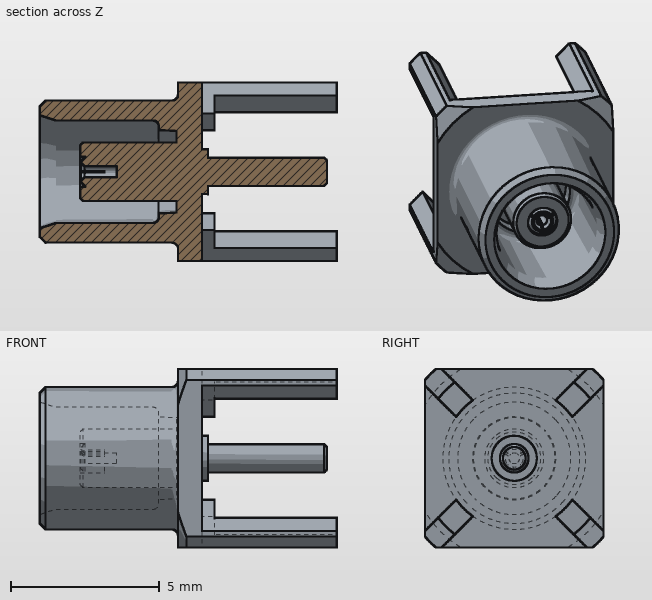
import cadquery as cq
import math

length = 9.99
side = 6.0

barrel_radius = 2.4
rim_chamfer = 0.2
flange_front = 4.65
flange_back = 5.46
flange_fillet = 0.2
corner_radius = 4.0
corner_cone_radius = 3.5
corner_cone_angle = 30.0

mouth_radius = 1.9
bore_radius = 1.72
mouth_depth = 0.55
bore_depth = 4.0
bore_fillet = 0.18
recess_radius = 1.4
recess_floor_radius = 1.37
recess_depth = 4.6

insulator_radius = 0.99
insulator_front = 1.36
insulator_chamfer = 0.1
contact_hole_radius = 0.5
contact_hole_depth = 0.17
contact_tip_radius = 0.36
contact_tip_height = 0.14
contact_mouth_radius = 0.3
contact_bore_radius = 0.18
contact_bore_depth = 1.2
slit_count = 3
slit_width = 0.06
slit_depth = 0.8

collar_radius = 0.76
collar_length = 0.2
tail_radius = 0.48
tail_end = 9.66
tail_chamfer = 0.1

leg_face_width = 0.56
leg_inner_radius = 3.25
foot_inner_radius = 2.4
foot_length = 0.42


def cylinder(radius, start, end):
    """Solid cylinder on the X axis."""
    return cq.Workplane("YZ", origin=(start, 0, 0)).circle(radius).extrude(end - start)


def square_prism(start, end):
    """Square bar with its corners turned round about the axis, the envelope of flange and legs."""
    bar = cq.Workplane("YZ", origin=(start, 0, 0)).rect(side, side).extrude(end - start)
    return bar.intersect(cylinder(corner_radius, start, end))


def make_flange():
    """Square flange whose front corners are turned to a shallow cone."""
    cone_length = (corner_radius - corner_cone_radius) * math.tan(math.radians(corner_cone_angle))
    turned_blank = (
        cq.Workplane("XY")
        .moveTo(flange_front, 0)
        .lineTo(flange_front, corner_cone_radius)
        .lineTo(flange_front + cone_length, corner_radius)
        .lineTo(flange_back, corner_radius)
        .lineTo(flange_back, 0)
        .close()
        .revolve(360, (0, 0, 0), (1, 0, 0))
    )
    return square_prism(flange_front, flange_back).intersect(turned_blank)


def make_barrel():
    """Round barrel with a chamfered rim and a concave fillet onto the flange."""
    fillet_mid = flange_fillet * (1 - math.sqrt(0.5))
    return (
        cq.Workplane("XY")
        .lineTo(0, barrel_radius - rim_chamfer)
        .lineTo(rim_chamfer, barrel_radius)
        .lineTo(flange_front - flange_fillet, barrel_radius)
        .threePointArc(
            (flange_front - fillet_mid, barrel_radius + fillet_mid),
            (flange_front, barrel_radius + flange_fillet),
        )
        .lineTo(flange_back, barrel_radius + flange_fillet)
        .lineTo(flange_back, 0)
        .close()
        .revolve(360, (0, 0, 0), (1, 0, 0))
    )


def make_socket():
    """Space turned out of the barrel: tapered mouth, round-bottomed bore and deeper recess."""
    fillet_mid = bore_fillet * (1 - math.sqrt(0.5))
    return (
        cq.Workplane("XY")
        .lineTo(0, mouth_radius)
        .lineTo(mouth_depth, bore_radius)
        .lineTo(bore_depth - bore_fillet, bore_radius)
        .threePointArc(
            (bore_depth - fillet_mid, bore_radius - fillet_mid),
            (bore_depth, bore_radius - bore_fillet),
        )
        .lineTo(bore_depth, recess_radius)
        .lineTo(recess_depth, recess_floor_radius)
        .lineTo(recess_depth, 0)
        .close()
        .revolve(360, (0, 0, 0), (1, 0, 0))
    )


def make_insulator():
    """Insulator post with the sunken, hollow tip of the contact at its centre."""
    hole_floor = insulator_front + contact_hole_depth
    tip_front = hole_floor - contact_tip_height
    bore_start = tip_front + contact_mouth_radius - contact_bore_radius
    bore_floor = tip_front + contact_bore_depth
    return (
        cq.Workplane("XY")
        .moveTo(flange_back, 0)
        .lineTo(flange_back, insulator_radius)
        .lineTo(insulator_front + insulator_chamfer, insulator_radius)
        .lineTo(insulator_front, insulator_radius - insulator_chamfer)
        .lineTo(insulator_front, contact_hole_radius)
        .lineTo(hole_floor, contact_hole_radius)
        .lineTo(tip_front, contact_tip_radius)
        .lineTo(tip_front, contact_mouth_radius)
        .lineTo(bore_start, contact_bore_radius)
        .lineTo(bore_floor, contact_bore_radius)
        .lineTo(bore_floor, 0)
        .close()
        .revolve(360, (0, 0, 0), (1, 0, 0))
    )


def make_slits():
    """Radial slits that split the contact tip into spring fingers, one of them pointing down."""
    tip_front = insulator_front + contact_hole_depth - contact_tip_height
    slits = cq.Workplane("XY")
    for index in range(slit_count):
        slit = cq.Workplane("XY", origin=(tip_front, 0, 0)).box(
            slit_depth, slit_width, contact_hole_radius, centered=(False, True, False)
        )
        slits = slits.union(slit.rotate((0, 0, 0), (1, 0, 0), 180 + index * 360 / slit_count))
    return slits.intersect(cylinder(contact_hole_radius, tip_front, tip_front + slit_depth))


def make_tail():
    """Solder tail with its collar against the back of the flange."""
    collar = cylinder(collar_radius, flange_back, flange_back + collar_length)
    pin = cylinder(tail_radius, flange_back, tail_end).faces(">X").chamfer(tail_chamfer)
    return collar.union(pin)


def make_leg_ring(end, inner_radius):
    """Four diagonal strips from the flange to X = end, outside inner_radius."""
    strip_length = 2 * side
    strip_width = leg_face_width * math.sqrt(2)
    height = end - flange_back
    diagonal_plane = cq.Workplane("YZ", origin=(flange_back, 0, 0)).transformed(rotate=(0, 0, 45))
    strip = diagonal_plane.rect(strip_length, strip_width).extrude(height)
    cross = strip.union(strip.rotate((0, 0, 0), (1, 0, 0), 90))
    ring = square_prism(flange_back, end).cut(cylinder(inner_radius, flange_back, end))
    return ring.intersect(cross)


result = (
    make_barrel()
    .union(make_flange())
    .cut(make_socket())
    .union(make_insulator())
    .cut(make_slits())
    .union(make_tail())
    .union(make_leg_ring(length, leg_inner_radius))
    .union(make_leg_ring(flange_back + foot_length, foot_inner_radius))
)